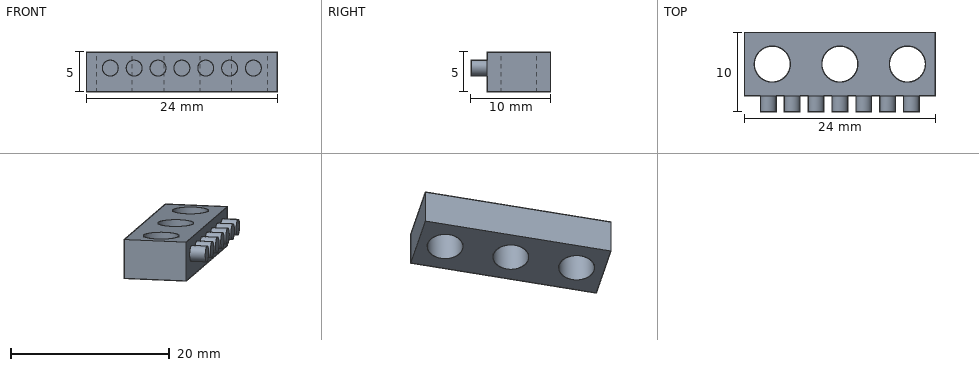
import cadquery as cq

block_length = 24.0
block_depth = 8.0
block_height = 5.0

hole_diameter = 4.5
hole_count = 3
hole_pitch = 8.5

pin_diameter = 2.0
pin_length = 2.0
pin_count = 7
pin_pitch = 3.0
pin_axis_below_top = 2.0
pin_axis_height = block_height - pin_axis_below_top


def row_positions(count, pitch):
    """X positions of equally spaced features centred on X = 0."""
    return [(index - (count - 1) / 2) * pitch for index in range(count)]


def make_block():
    """Block centred in X and Y, standing on Z = 0."""
    return cq.Workplane("XY").box(block_length, block_depth, block_height, centered=(True, True, False))


def make_holes():
    """Cylinders that cut the holes through the full block height."""
    centers = [(x, 0) for x in row_positions(hole_count, hole_pitch)]
    return cq.Workplane("XY").pushPoints(centers).circle(hole_diameter / 2).extrude(block_height)


def make_pins():
    """Round pins that stand out from the front face toward -Y."""
    front_face = cq.Workplane("XZ", origin=(0, -block_depth / 2, 0))
    centers = [(x, pin_axis_height) for x in row_positions(pin_count, pin_pitch)]
    return front_face.pushPoints(centers).circle(pin_diameter / 2).extrude(pin_length)


result = make_block().cut(make_holes()).union(make_pins())